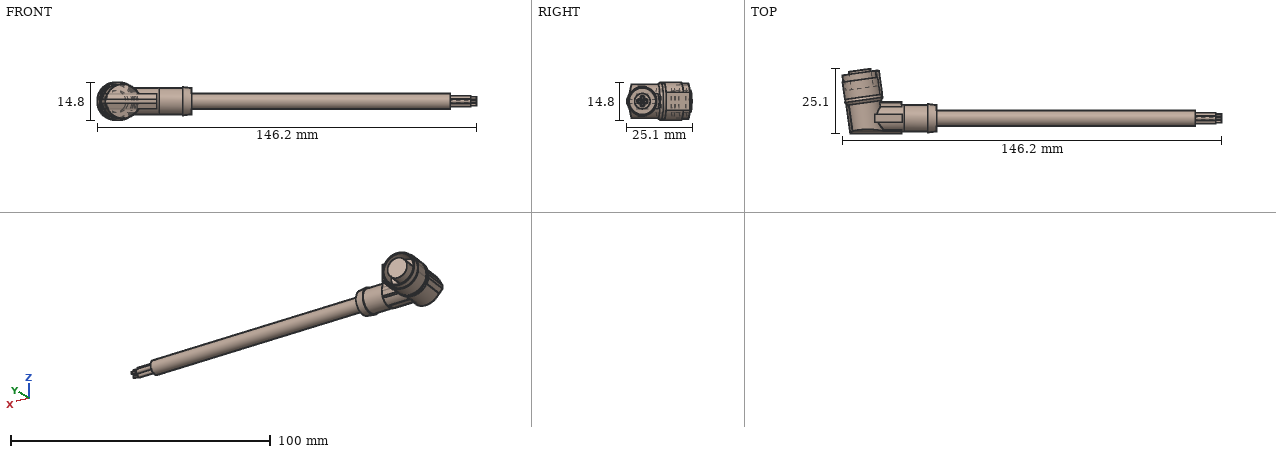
import cadquery as cq
import math


HEAD_TILT = 8.0
HEAD_START = -11.7
BODY_R = 6.6
COLLAR_START = 6.0
COLLAR_EDGE = 7.2
GROOVE_R = 7.0
RING_START = 8.3
RING_R = 14.8 / 2
RIM_START = 15.0
RIM_R = 13.9 / 2
RIM_TOP = 17.7
INSERT_R = 4.2
INSERT_TOP = 18.7
SOCKET_R = 6.5
SOCKET_DEPTH = 5.8
FLAT_WIDTH = 3.0
PAD_WIDTH = 7.0
PAD_TOP = 17.4

RIB_CREST_WIDTH = 1.37
RIB_WIDTH = 5.7
OUTER_RIB_DROP = 0.95
INNER_RIB_DROP = 0.5
HEAD_RIB_CREST = 7.0
ELBOW_CREST = 6.0
ELBOW_SIDE = 4.2
INNER_RIB_CREST = 6.5
RIB_END = 13.6

SLEEVE_R = 5.3
NECK_R = 5.1
NECK_START = 14.6
BEAD_START = 23.5
BEAD_R = 5.5
SLEEVE_END = 27.0
GRIP_START = 3.2
GRIP_LENGTH = 10.5
GRIP_WIDTH = 3.0
GRIP_HEIGHT = 5.3
CABLE_R = 6.0 / 2
WIRE_COUNT = 4
WIRE_CIRCLE_R = 1.23
WIRE_R = 0.9
CORE_R = 0.51
CORE_LENGTH = 2.2
STRIPPED_LENGTH = 10.1
WIRE_OVERLAP = 1.5

TOTAL_LENGTH = 146.2
tilt = math.radians(HEAD_TILT)
head_reach = RIM_TOP * math.sin(tilt) + RIM_R * math.cos(tilt)
core_end = TOTAL_LENGTH - head_reach
wire_end = core_end - CORE_LENGTH
cable_end = core_end - STRIPPED_LENGTH


def rod(radius, start, end, y=0.0, z=0.0):
    """Round bar along X."""
    return cq.Workplane("YZ", origin=(start, 0, 0)).center(y, z).circle(radius).extrude(end - start)


def tilted(shape):
    """Turn a shape built along Y onto the head axis."""
    return shape.rotate((0, 0, 0), (0, 0, 1), HEAD_TILT)


def rib_outline(plane, crest, drop):
    """Ridge with a narrow crest and shoulders sloping down by drop, rising along the plane's y."""
    shoulder = crest - drop
    return plane.polyline(
        [
            (-RIB_WIDTH / 2, 0),
            (-RIB_WIDTH / 2, shoulder),
            (-RIB_CREST_WIDTH / 2, crest),
            (RIB_CREST_WIDTH / 2, crest),
            (RIB_WIDTH / 2, shoulder),
            (RIB_WIDTH / 2, 0),
        ]
    ).close()


def elbow_envelope():
    """Prism along X that fills the space on the +Y side of the elbow's ridged face."""
    far = 2 * RING_R
    shoulder = ELBOW_CREST - OUTER_RIB_DROP
    return (
        cq.Workplane("YZ", origin=(-far, 0, 0))
        .polyline(
            [
                (far, -BODY_R),
                (-ELBOW_SIDE, -BODY_R),
                (-shoulder, -RIB_WIDTH / 2),
                (-ELBOW_CREST, -RIB_CREST_WIDTH / 2),
                (-ELBOW_CREST, RIB_CREST_WIDTH / 2),
                (-shoulder, RIB_WIDTH / 2),
                (-ELBOW_SIDE, BODY_R),
                (far, BODY_R),
            ]
        )
        .close()
        .extrude(2 * far)
    )


def make_body():
    """Head body with its outer rib, trimmed to the ridged elbow end."""
    body = cq.Workplane("XZ", origin=(0, HEAD_START, 0)).circle(BODY_R).extrude(HEAD_START - COLLAR_START)
    rib_plane = cq.Workplane(cq.Plane((0, HEAD_START, 0), (0, 0, -1), (0, 1, 0)))
    rib = rib_outline(rib_plane, HEAD_RIB_CREST, OUTER_RIB_DROP).extrude(COLLAR_START - HEAD_START)
    return tilted(body.union(rib)).intersect(elbow_envelope())


def make_coupling():
    """Collar, groove, ring and rim turned about the head axis, with the open socket and insert."""
    turned = (
        cq.Workplane("XY")
        .polyline(
            [
                (0, COLLAR_START),
                (BODY_R, COLLAR_START),
                (RING_R, COLLAR_EDGE),
                (GROOVE_R, RING_START),
                (RING_R, RING_START),
                (RING_R, RIM_START),
                (RIM_R, RIM_START),
                (RIM_R, RIM_TOP),
                (INSERT_R, RIM_TOP),
                (INSERT_R, INSERT_TOP),
                (0, INSERT_TOP),
            ]
        )
        .close()
        .revolve(360, (0, 0, 0), (0, 1, 0))
    )
    flat_distance = math.sqrt(RING_R**2 - (FLAT_WIDTH / 2) ** 2)
    flat = (
        cq.Workplane("XY")
        .box(RING_R, RIM_START - RING_START, FLAT_WIDTH, centered=(False, False, True))
        .translate((-flat_distance - RING_R, RING_START, 0))
    )
    pad = (
        cq.Workplane("XY")
        .box(RING_R - INSERT_R, PAD_TOP - RING_START, PAD_WIDTH, centered=(False, False, True))
        .translate((INSERT_R, RING_START, 0))
    )
    socket = (
        cq.Workplane("XZ", origin=(0, RIM_TOP, 0))
        .circle(SOCKET_R)
        .circle(INSERT_R)
        .extrude(SOCKET_DEPTH)
    )
    return tilted(turned.cut(flat).union(pad).cut(socket))


def make_sleeve():
    """Round sleeve with a tapered end bead, an outer rib and an inner rib."""
    sleeve = (
        cq.Workplane("XY")
        .polyline(
            [
                (0, 0),
                (0, SLEEVE_R),
                (NECK_START, SLEEVE_R),
                (NECK_START, NECK_R),
                (BEAD_START, NECK_R),
                (BEAD_START, BEAD_R),
                (SLEEVE_END, NECK_R),
                (SLEEVE_END, 0),
            ]
        )
        .close()
        .revolve(360, (0, 0, 0), (1, 0, 0))
    )
    outer_plane = cq.Workplane(cq.Plane((0, 0, 0), (0, 0, 1), (1, 0, 0)))
    inner_plane = cq.Workplane(cq.Plane((0, 0, 0), (0, 0, -1), (1, 0, 0)))
    outer_rib = rib_outline(outer_plane, ELBOW_CREST, OUTER_RIB_DROP).extrude(RIB_END)
    inner_rib = rib_outline(inner_plane, INNER_RIB_CREST, INNER_RIB_DROP).extrude(RIB_END)
    return sleeve.union(outer_rib).union(inner_rib)


def grip_block(height):
    """Rectangular block reaching the given distance from the axis on both Z sides of the sleeve."""
    return (
        cq.Workplane("XY")
        .box(GRIP_LENGTH, GRIP_WIDTH, 2 * height, centered=(False, True, True))
        .translate((GRIP_START, 0, 0))
    )


def make_cable():
    """Cable jacket and the stripped wires with bare cores."""
    cable = rod(CABLE_R, 0, cable_end)
    for index in range(WIRE_COUNT):
        angle = 2 * math.pi * index / WIRE_COUNT
        y = WIRE_CIRCLE_R * math.cos(angle)
        z = WIRE_CIRCLE_R * math.sin(angle)
        cable = cable.union(rod(WIRE_R, cable_end - WIRE_OVERLAP, wire_end, y, z))
        cable = cable.union(rod(CORE_R, wire_end - WIRE_OVERLAP, core_end, y, z))
    return cable


housing = make_body().union(make_coupling()).union(make_sleeve())
housing = housing.cut(grip_block(BODY_R)).union(grip_block(GRIP_HEIGHT))

result = housing.union(make_cable()).solids()